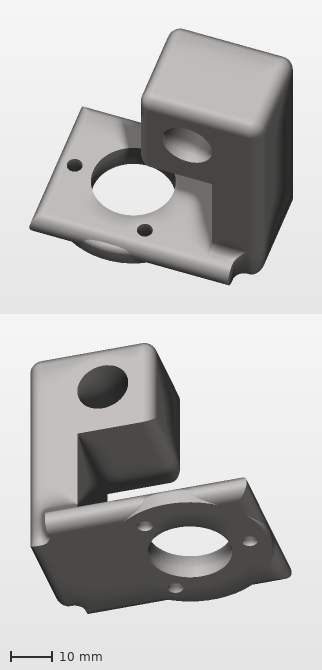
import cadquery as cq

LENGTH = 57.2
MODULE = 6.35
HEIGHT = 9 * MODULE
PLATE_FRONT_X = LENGTH - 9 * MODULE
PLATE_LENGTH = 8 * MODULE
PLATE_WIDTH = 6 * MODULE
PLATE_END_X = PLATE_FRONT_X + PLATE_LENGTH
EDGE_RADIUS = MODULE / 2
FLAT_SIDE_Y = PLATE_WIDTH / 2 - EDGE_RADIUS

UPRIGHT_WIDTH = 4 * MODULE
UPRIGHT_FRONT_X = PLATE_FRONT_X + 7 * MODULE
HEAD_FRONT_X = PLATE_FRONT_X + 4 * MODULE
HEAD_BOTTOM_Z = 5 * MODULE
CROSS_HOLE_X = PLATE_FRONT_X + 6 * MODULE
CROSS_HOLE_Z = 7 * MODULE
CROSS_HOLE_DIAMETER = 12.8
FRONT_FOOT_RADIUS = 2.35
BACK_FOOT_RADIUS = EDGE_RADIUS
END_FOOT_RADIUS = 2.8

DISC_DIAMETER = 40.0
DISC_X = DISC_DIAMETER / 2
DISC_RIM_RADIUS = 1.65
DISC_HEIGHT = MODULE / 2 + DISC_RIM_RADIUS
BORE_DIAMETER = 20.5
SCREW_HOLE_DIAMETER = 3.85
SCREW_CIRCLE_RADIUS = 15.0
SCREW_ANGLES = (60, 180, 300)


def make_plate():
    """Flat plate with bullnose edges on three sides, meeting in mitred corners."""
    flat_front_x = PLATE_FRONT_X + EDGE_RADIUS
    side_rounded = (
        cq.Workplane("YZ", origin=(PLATE_FRONT_X, 0, 0))
        .moveTo(-FLAT_SIDE_Y, 0)
        .lineTo(FLAT_SIDE_Y, 0)
        .threePointArc((PLATE_WIDTH / 2, EDGE_RADIUS), (FLAT_SIDE_Y, MODULE))
        .lineTo(-FLAT_SIDE_Y, MODULE)
        .threePointArc((-PLATE_WIDTH / 2, EDGE_RADIUS), (-FLAT_SIDE_Y, 0))
        .close()
        .extrude(PLATE_LENGTH)
    )
    front_rounded = (
        cq.Workplane("XZ")
        .moveTo(flat_front_x, 0)
        .lineTo(PLATE_END_X, 0)
        .lineTo(PLATE_END_X, MODULE)
        .lineTo(flat_front_x, MODULE)
        .threePointArc((PLATE_FRONT_X, EDGE_RADIUS), (flat_front_x, 0))
        .close()
        .extrude(PLATE_WIDTH / 2, both=True)
    )
    return side_rounded.intersect(front_rounded)


def make_disc():
    """Round boss around the bore, with a rounded upper rim."""
    return (
        cq.Workplane("XY")
        .center(DISC_X, 0)
        .circle(DISC_DIAMETER / 2)
        .extrude(DISC_HEIGHT)
        .faces(">Z")
        .edges()
        .fillet(DISC_RIM_RADIUS)
    )


def make_upright():
    """Column and overhanging head: a rounded block trimmed to an L-shaped side profile."""
    block = (
        cq.Workplane("XY")
        .box(LENGTH - HEAD_FRONT_X, UPRIGHT_WIDTH, HEIGHT, centered=(False, True, False))
        .translate((HEAD_FRONT_X, 0, 0))
        .edges("|Z or >Z")
        .fillet(EDGE_RADIUS)
    )
    profile = (
        cq.Workplane("XZ")
        .moveTo(UPRIGHT_FRONT_X, 0)
        .lineTo(LENGTH - EDGE_RADIUS, 0)
        .radiusArc((LENGTH, EDGE_RADIUS), -EDGE_RADIUS)
        .lineTo(LENGTH, HEIGHT)
        .lineTo(HEAD_FRONT_X, HEIGHT)
        .lineTo(HEAD_FRONT_X, HEAD_BOTTOM_Z + EDGE_RADIUS)
        .radiusArc((HEAD_FRONT_X + EDGE_RADIUS, HEAD_BOTTOM_Z), -EDGE_RADIUS)
        .lineTo(UPRIGHT_FRONT_X, HEAD_BOTTOM_Z)
        .close()
        .extrude(UPRIGHT_WIDTH / 2, both=True)
    )
    return block.intersect(profile)


def make_foot_fillet(plate_radius):
    """Concave fillets from the +Y column side to the plate top and plate end, mitred together.

    plate_radius belongs to the fillet over the plate; the one on the plate end uses END_FOOT_RADIUS.
    """
    side_y = UPRIGHT_WIDTH / 2
    plate_y = side_y + plate_radius
    end_y = side_y + END_FOOT_RADIUS
    top_z = MODULE + plate_radius
    end_x = PLATE_END_X + END_FOOT_RADIUS
    over_plate = (
        cq.Workplane("YZ", origin=(UPRIGHT_FRONT_X, 0, 0))
        .moveTo(0, 0)
        .lineTo(plate_y, 0)
        .lineTo(plate_y, MODULE)
        .radiusArc((side_y, top_z), plate_radius)
        .lineTo(0, top_z)
        .close()
        .extrude(end_x - UPRIGHT_FRONT_X)
    )
    behind_plate = (
        cq.Workplane("XY")
        .moveTo(UPRIGHT_FRONT_X, 0)
        .lineTo(UPRIGHT_FRONT_X, FLAT_SIDE_Y)
        .lineTo(PLATE_END_X, FLAT_SIDE_Y)
        .lineTo(PLATE_END_X, end_y)
        .radiusArc((end_x, side_y), -END_FOOT_RADIUS)
        .lineTo(end_x, 0)
        .close()
        .extrude(top_z)
    )
    return over_plate.intersect(behind_plate)


def make_plate_holes():
    """Central bore and the three screw holes spaced around it."""
    holes = cq.Workplane("XY").center(DISC_X, 0).circle(BORE_DIAMETER / 2).extrude(MODULE)
    for angle in SCREW_ANGLES:
        screw_hole = (
            cq.Workplane("XY")
            .center(DISC_X + SCREW_CIRCLE_RADIUS, 0)
            .circle(SCREW_HOLE_DIAMETER / 2)
            .extrude(MODULE)
            .rotate((DISC_X, 0, 0), (DISC_X, 0, 1), angle)
        )
        holes = holes.union(screw_hole)
    return holes


def make_cross_hole():
    """Hole through the head along Y."""
    return (
        cq.Workplane("XZ")
        .center(CROSS_HOLE_X, CROSS_HOLE_Z)
        .circle(CROSS_HOLE_DIAMETER / 2)
        .extrude(UPRIGHT_WIDTH, both=True)
    )


result = (
    make_plate()
    .union(make_disc())
    .union(make_upright())
    .union(make_foot_fillet(BACK_FOOT_RADIUS))
    .union(make_foot_fillet(FRONT_FOOT_RADIUS).mirror("XZ"))
    .cut(make_plate_holes())
    .cut(make_cross_hole())
)